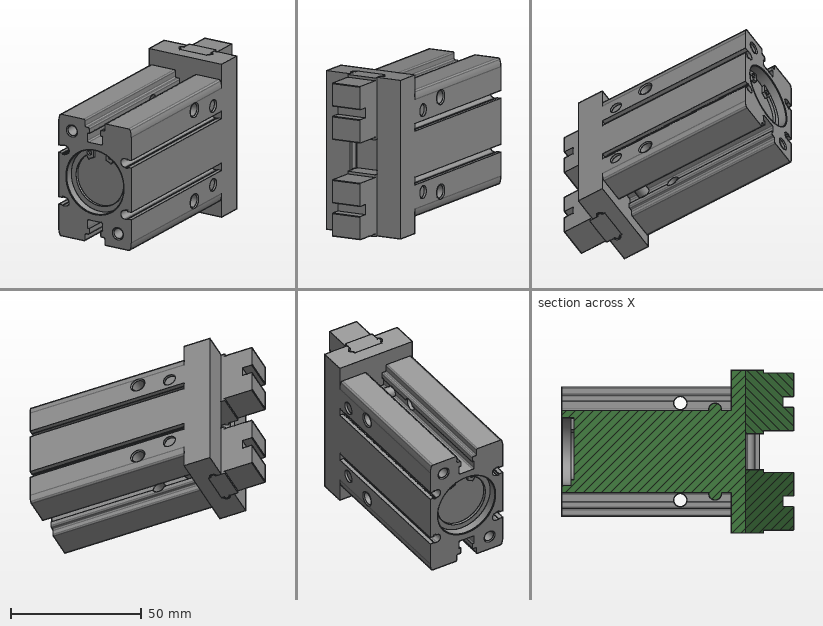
import cadquery as cq
import math

TOTAL_LENGTH = 89.2
WIDTH = 33.0
HEAD_HEIGHT = 62.6
HEAD_BACK = 65.1
HEAD_FRONT = 76.1
PROFILE_HEIGHT = 49.8

CORNER_SIDE_DROP = 3.3
CORNER_ARC_RADIUS = 8.0
CORNER_ROUND = 0.8

SLOT_MOUTH_WIDTH = 8.9
SLOT_NECK_WIDTH = 5.2
SLOT_FOOT_WIDTH = 6.8
SLOT_MOUTH_DEPTH = 3.0
SLOT_NECK_DEPTH = 5.4
SLOT_DEPTH = 9.0
SLOT_ROUND = 0.5
SHOULDER_ROUND = 0.3

GROOVE_Z = 10.6
GROOVE_MOUTH = 3.0
GROOVE_HEIGHT = 3.6
GROOVE_LIP = 1.9
GROOVE_DEPTH = 4.7
NICK_INSET = 1.7
NICK_WIDTH = 0.9
NICK_DEPTH = 0.5

BORE_DIAMETER = 26.0
BORE_CHAMFER = 0.3
RING_FRONT = 3.6
RING_THICKNESS = 1.2
RING_INNER_RADIUS = 10.8
LUG_INNER_RADIUS = 8.9
LUG_ANGLE = 34.4
RING_GAP = 5.7
LUG_HOLE_DIAMETER = 2.0
LUG_HOLE_X = 4.8
LUG_HOLE_Z = 10.2

END_HOLE_DIAMETER = 4.1
END_HOLE_MOUTH = 5.0
END_HOLE_DEPTH = 10.0
END_HOLE_X = 10.4
END_HOLE_Z = 19.0

SIDE_HOLE_DIAMETER = 5.0
SIDE_HOLE_MOUTH = 6.0
SIDE_HOLE_Y = 45.6
SIDE_HOLE_Z = 18.6

PIN_DIAMETER = 5.0
PIN_Y = 59.0
PIN_Z = 16.15
PIN_RECESS = 1.0

JAW_WIDTH = 12.2
JAW_Z = 19.1
JAW_BASE_BACK = 70.65
JAW_BASE_FRONT = 77.6
JAW_BASE_LENGTH = 24.4
JAW_FINGER_LENGTH = 22.3
JAW_CORNER_ROUND = 0.4
JAW_EDGE_CHAMFER = 0.3
NOTCH_WIDTH = 3.9
NOTCH_DEPTH = 4.1
RIDGE_X = 6.0
RIDGE_Y = 72.8
RIDGE_RADIUS = 1.5
END_RIDGE_RADIUS = 1.0

SIDES = (1, -1)


def box_between(x, y, z):
    """Box from (low, high) limits along each axis."""
    size = (x[1] - x[0], y[1] - y[0], z[1] - z[0])
    return cq.Workplane("XY").box(*size, centered=False).translate((x[0], y[0], z[0]))


def rod_along_x(diameter, y, z, length):
    """Round bar centred on X = 0."""
    return cq.Workplane("YZ").center(y, z).circle(diameter / 2).extrude(length / 2, both=True)


def rod_along_y(diameter, x, z, start, end):
    """Round bar between two Y positions."""
    bar = cq.Workplane("XZ").circle(diameter / 2).extrude(start - end)
    return bar.translate((x, start, z))


def profile_bar():
    """Extruded housing profile with its softened outer corners."""
    half_width = WIDTH / 2
    half_height = PROFILE_HEIGHT / 2
    side_z = half_height - CORNER_SIDE_DROP
    top_x = half_width - CORNER_ARC_RADIUS + math.sqrt(CORNER_ARC_RADIUS**2 - CORNER_SIDE_DROP**2)
    return (
        cq.Workplane("XZ")
        .moveTo(-top_x, half_height)
        .lineTo(top_x, half_height)
        .radiusArc((half_width, side_z), CORNER_ARC_RADIUS)
        .lineTo(half_width, -side_z)
        .radiusArc((top_x, -half_height), CORNER_ARC_RADIUS)
        .lineTo(-top_x, -half_height)
        .radiusArc((-half_width, -side_z), CORNER_ARC_RADIUS)
        .lineTo(-half_width, side_z)
        .radiusArc((-top_x, half_height), CORNER_ARC_RADIUS)
        .close()
        .extrude(-HEAD_BACK)
        .faces(">Z or <Z").edges("|Y").fillet(CORNER_ROUND)
    )


def t_slot(side):
    """Cutter for the stepped slot in the upper (1) or lower (-1) face."""
    top = PROFILE_HEIGHT / 2
    mouth = SLOT_MOUTH_WIDTH / 2
    neck = SLOT_NECK_WIDTH / 2
    foot = SLOT_FOOT_WIDTH / 2
    step = top - SLOT_MOUTH_DEPTH
    shoulder = top - SLOT_NECK_DEPTH
    floor = top - SLOT_DEPTH
    run = (0, HEAD_BACK)
    neck_cut = box_between((-neck, neck), run, (floor, top))
    mouth_cut = box_between((-mouth, mouth), run, (step, top))
    mouth_cut = mouth_cut.edges("|Y and <Z").fillet(SLOT_ROUND)
    foot_cut = box_between((-foot, foot), run, (floor, shoulder))
    foot_cut = foot_cut.edges("|Y and <Z").fillet(SLOT_ROUND)
    foot_cut = foot_cut.edges("|Y and >Z").fillet(SHOULDER_ROUND)
    cutter = neck_cut.union(mouth_cut).union(foot_cut)
    cutter = cutter.union(edge_relief(mouth, top)).union(edge_relief(neck, step))
    if side < 0:
        cutter = cutter.mirror("XY")
    return cutter


def edge_relief(half_width, z):
    """Cutter that rounds both upper edges of a slot of the given half width."""
    outer = half_width + SLOT_ROUND
    block = box_between((-outer, outer), (0, HEAD_BACK), (z - SLOT_ROUND, z))
    for x in (-outer, outer):
        block = block.cut(rod_along_y(2 * SLOT_ROUND, x, z - SLOT_ROUND, 0, HEAD_BACK))
    return block


def side_groove(x_side, z_side):
    """Cutter for one round-bottomed groove behind a narrower mouth, with a square nick at its inner lip."""
    face = x_side * WIDTH / 2
    lip = face - x_side * GROOVE_LIP
    center = face - x_side * (GROOVE_DEPTH - GROOVE_HEIGHT / 2)
    nick_start = face - x_side * NICK_INSET
    nick_end = nick_start - x_side * NICK_WIDTH
    nick_z = GROOVE_Z - GROOVE_MOUTH / 2 - NICK_DEPTH
    z = z_side * GROOVE_Z
    run = (0, HEAD_BACK)
    cutter = box_between(sorted((center, face)), run, (z - GROOVE_MOUTH / 2, z + GROOVE_MOUTH / 2))
    cavity = box_between(sorted((center, lip)), run, (z - GROOVE_HEIGHT / 2, z + GROOVE_HEIGHT / 2))
    cutter = cutter.union(cavity).union(rod_along_y(GROOVE_HEIGHT, center, z, *run))
    nick = box_between(sorted((nick_end, nick_start)), run, sorted((z_side * nick_z, z)))
    return cutter.union(nick)


def bore():
    """Cutter for the chamfered bore, down to the end plate."""
    radius = BORE_DIAMETER / 2
    hole = rod_along_y(BORE_DIAMETER, 0, 0, 0, RING_FRONT + RING_THICKNESS)
    mouth = cq.Solid.makeCone(radius + BORE_CHAMFER, radius, BORE_CHAMFER, dir=cq.Vector(0, 1, 0))
    return hole.union(cq.Workplane(mouth))


def ring_slice():
    """Wedge-shaped sector, about +Z, that holds both ring lugs."""
    reach = BORE_DIAMETER
    half_span = reach * math.tan(math.radians(LUG_ANGLE))
    return (
        cq.Workplane("XZ")
        .polyline([(0, 0), (-half_span, reach), (half_span, reach)])
        .close()
        .extrude(-RING_THICKNESS)
    )


def retaining_ring():
    """Open ring with two drilled lugs at its upper gap."""
    blank = rod_along_y(BORE_DIAMETER, 0, 0, 0, RING_THICKNESS)
    ring = blank.cut(rod_along_y(2 * RING_INNER_RADIUS, 0, 0, 0, RING_THICKNESS))
    lugs = blank.cut(rod_along_y(2 * LUG_INNER_RADIUS, 0, 0, 0, RING_THICKNESS)).intersect(ring_slice())
    ring = ring.union(lugs)
    ring = ring.cut(box_between((-RING_GAP / 2, RING_GAP / 2), (0, RING_THICKNESS), (0, BORE_DIAMETER)))
    for side in SIDES:
        ring = ring.cut(rod_along_y(LUG_HOLE_DIAMETER, side * LUG_HOLE_X, LUG_HOLE_Z, 0, RING_THICKNESS))
    return ring.translate((0, RING_FRONT, 0))


def end_hole(side):
    """Cutter for one blind, chamfered screw hole in the bore end."""
    x = -side * END_HOLE_X
    z = side * END_HOLE_Z
    depth = (END_HOLE_MOUTH - END_HOLE_DIAMETER) / 2
    mouth = cq.Solid.makeCone(
        END_HOLE_MOUTH / 2, END_HOLE_DIAMETER / 2, depth, cq.Vector(x, 0, z), cq.Vector(0, 1, 0)
    )
    return rod_along_y(END_HOLE_DIAMETER, x, z, 0, END_HOLE_DEPTH).union(cq.Workplane(mouth))


def side_hole(z):
    """Cutter for one through hole along X, chamfered on both sides."""
    hole = rod_along_x(SIDE_HOLE_DIAMETER, SIDE_HOLE_Y, z, WIDTH)
    depth = (SIDE_HOLE_MOUTH - SIDE_HOLE_DIAMETER) / 2
    for side in SIDES:
        mouth = cq.Solid.makeCone(
            SIDE_HOLE_MOUTH / 2,
            SIDE_HOLE_DIAMETER / 2,
            depth,
            cq.Vector(side * WIDTH / 2, SIDE_HOLE_Y, z),
            cq.Vector(-side, 0, 0),
        )
        hole = hole.union(cq.Workplane(mouth))
    return hole


def tongue(ridge_radius, back, front, z_limits):
    """Guide tongue with a half-round ridge along each side."""
    half = JAW_WIDTH / 2
    body = box_between((-half, half), (back, front), z_limits)
    for side in SIDES:
        ridge = cq.Workplane("XY").circle(ridge_radius).extrude(z_limits[1] - z_limits[0])
        body = body.union(ridge.translate((side * RIDGE_X, RIDGE_Y, z_limits[0])))
    return body


def make_housing():
    """Extruded profile with its head, bore, retaining ring, holes and cross pins, all one solid."""
    half_head = HEAD_HEIGHT / 2
    body = profile_bar()
    for side in SIDES:
        body = body.cut(t_slot(side))
        for x_side in SIDES:
            body = body.cut(side_groove(x_side, side))
    head = box_between((-WIDTH / 2, WIDTH / 2), (HEAD_BACK, HEAD_FRONT), (-half_head, half_head))
    head = head.cut(tongue(RIDGE_RADIUS, JAW_BASE_BACK, HEAD_FRONT, (-half_head, half_head)))
    body = body.union(head).cut(bore()).union(retaining_ring())
    for side in SIDES:
        body = body.cut(end_hole(side)).cut(side_hole(side * SIDE_HOLE_Z))
        body = body.cut(rod_along_x(PIN_DIAMETER, PIN_Y, side * PIN_Z, WIDTH))
        body = body.union(rod_along_x(PIN_DIAMETER, PIN_Y, side * PIN_Z, WIDTH - 2 * PIN_RECESS))
    return body


def jaw_finger():
    """Notched block that stands out of the head, centred on Z = 0."""
    half = JAW_WIDTH / 2
    half_length = JAW_FINGER_LENGTH / 2
    half_notch = NOTCH_WIDTH / 2
    finger = box_between((-half, half), (JAW_BASE_BACK, TOTAL_LENGTH), (-half_length, half_length))
    finger = finger.cut(
        box_between((-half, half), (TOTAL_LENGTH - NOTCH_DEPTH, TOTAL_LENGTH), (-half_notch, half_notch))
    )
    return finger.faces(">Y").edges("|X").chamfer(JAW_EDGE_CHAMFER)


def make_jaw(side):
    """One sliding jaw; the tongue has slimmer ridges at its two ends."""
    half_base = JAW_BASE_LENGTH / 2
    half_finger = JAW_FINGER_LENGTH / 2
    base = tongue(END_RIDGE_RADIUS, JAW_BASE_BACK, JAW_BASE_FRONT, (-half_base, half_base))
    base = base.edges("|Z and >Y").fillet(JAW_CORNER_ROUND)
    guide = tongue(RIDGE_RADIUS, JAW_BASE_BACK, HEAD_FRONT, (-half_finger, half_finger))
    return base.union(guide).union(jaw_finger()).translate((0, 0, side * JAW_Z))


housing = make_housing()
jaws = [make_jaw(side) for side in SIDES]

result = cq.Compound.makeCompound([housing.val(), *[jaw.val() for jaw in jaws]])